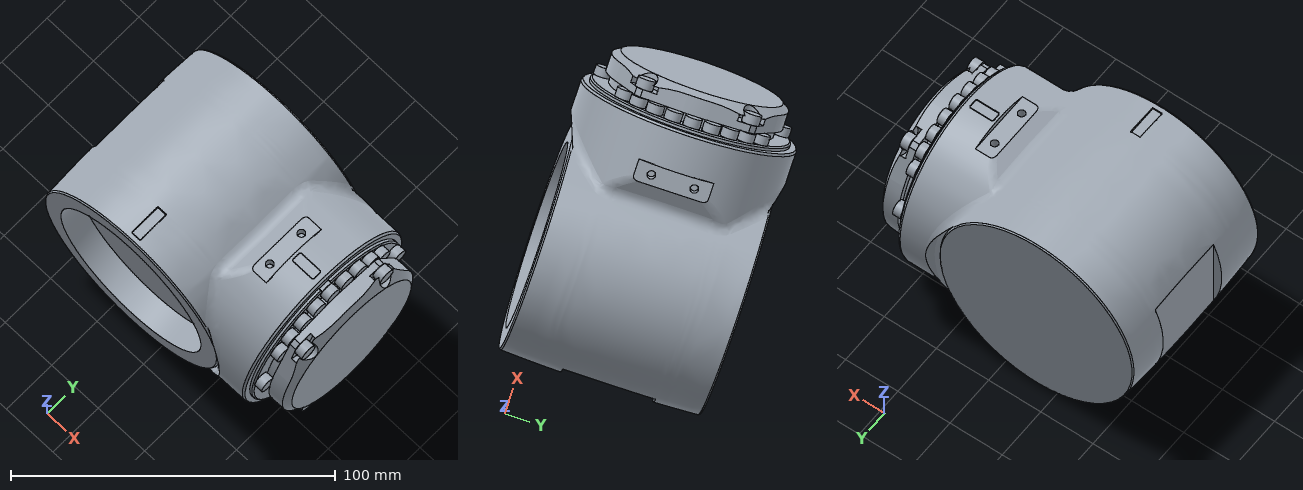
import cadquery as cq
import math

drum_radius = 38.0
drum_end_radius = 37.1
drum_half_length = 32.5
drum_edge = 0.3
recess_radius = 30.1
recess_depth = 9.4

window_x = -34.7
window_y_min = -12.4
window_y_max = 17.7

arm_diameter = 70.0
arm_radius = arm_diameter / 2
arm_end_x = 51.0
arm_edge_length = 0.8
arm_edge_height = 0.4
neck_fillet = 4.0
shoulder_start_radius = drum_end_radius - drum_edge
shoulder_valley_radius = 37.3
shoulder_valley_depth = 0.8
shoulder_bend_radius = 38.3
shoulder_bend_height = 0.6
shoulder_end_radius = 40.4

pad_z = 32.8
pad_start_x = 31.5
pad_end_x = 38.3
ramp_angle = 31.0
pad_hole_x = 34.8
pad_hole_y = 7.0
pad_hole_radius = 1.3
pad_hole_depth = 4.0

marker_half_width = 1.8
drum_marker_y_min = -30.3
drum_marker_y_max = -18.8
drum_marker_floor = 36.6
arm_marker_x_min = 39.3
arm_marker_x_max = 48.3
arm_marker_corner = 0.5
arm_marker_floor = 34.6

flange_radius = 32.5
flange_end_x = 52.5
flange_chamfer = 0.5
flange_notch_half_width = 2.0
flange_notch_floor = 31.8
neck_radius = 26.8
cap_radius = 28.8
cap_face_x = 55.7
cap_chamfer_x = 61.5
cap_end_x = 63.2
cap_end_radius = 26.4
lug_angle = 35.5
lug_half_angle = 27.7
lug_tip_radius = 31.9

screw_circle_radius = 29.7
screw_pitch_angle = 12.0
screw_steps = 4
side_screw_angle = 78.0
screw_head_radius = 2.7
screw_head_end_x = 55.5
lug_pocket_radius = 3.2
lug_groove_radius = 5.2
lug_groove_x = 58.2
lug_groove_end_x = 60.3
lug_screw_radius = 2.8
lug_screw_end_x = 61.5

clearance = 20.2
fit_tolerance = 0.1


def box(x_range, y_range, z_range):
    """Axis-aligned box between the given limits."""
    size = [high - low for low, high in (x_range, y_range, z_range)]
    corner = (x_range[0], y_range[0], z_range[0])
    return cq.Workplane("XY").box(*size, centered=False).translate(corner)


def rod(radius, x_start, x_end, y=0.0, z=0.0):
    """Cylinder along X centred at (y, z)."""
    return (cq.Workplane("YZ", origin=(x_start, 0, 0))
            .center(y, z).circle(radius).extrude(x_end - x_start))


def on_circle(radius, degrees):
    """Point (y, z) at an angle measured from +Z towards +Y."""
    angle = math.radians(degrees)
    return radius * math.sin(angle), radius * math.cos(angle)


def with_mirror(shape, plane):
    return shape.union(shape.mirror(plane))


def drum_blank():
    """Crowned drum, overlong so that the arm's outline lies wholly on its skin."""
    sagitta = drum_radius - drum_end_radius
    crown_radius = (drum_half_length ** 2 + sagitta ** 2) / (2 * sagitta)
    half = drum_half_length + clearance / 2
    end_radius = drum_radius - crown_radius + math.sqrt(crown_radius ** 2 - half ** 2)
    return (cq.Workplane("XY")
            .moveTo(0, -half).lineTo(end_radius, -half)
            .threePointArc((drum_radius, 0), (end_radius, half))
            .lineTo(0, half).close()
            .revolve(360, (0, 0, 0), (0, 1, 0)))


def arm_blank():
    """Arm cylinder with a pad and a ramp down to the drum, above and below."""
    top = pad_z + clearance
    ramp_foot_z = pad_z - pad_start_x * math.tan(math.radians(ramp_angle))
    cutter = (cq.Workplane("XZ")
              .polyline([(pad_end_x, top), (pad_end_x, pad_z), (pad_start_x, pad_z),
                         (0, ramp_foot_z), (0, top)])
              .close().extrude(arm_radius, both=True))
    cylinder = cq.Workplane("YZ").circle(arm_radius).extrude(arm_end_x)
    cylinder = cylinder.faces(">X").chamfer(arm_edge_length, arm_edge_height)
    return cylinder.cut(with_mirror(cutter, "XY"))


def end_cutter():
    """Everything beyond the +Y drum face, with a small valley and a slope up to the arm's side."""
    outside = arm_radius + clearance
    return (cq.Workplane("XY")
            .polyline([(0, drum_half_length),
                       (shoulder_start_radius, drum_half_length),
                       (shoulder_valley_radius, drum_half_length - shoulder_valley_depth),
                       (shoulder_bend_radius, drum_half_length + shoulder_bend_height),
                       (shoulder_end_radius, arm_radius),
                       (shoulder_end_radius, outside),
                       (0, outside)])
            .close().revolve(360, (0, 0, 0), (0, 1, 0)))


def is_ramp_side(edge):
    """Sloping edge between a ramp and the round of the arm."""
    ends_at_pad = abs(edge.BoundingBox().xmax - pad_start_x) < fit_tolerance
    return ends_at_pad and edge.geomType() == "ELLIPSE"


def is_neck(edge):
    """Edge of the closed loop where the arm meets the skin of the drum."""
    bounds = edge.BoundingBox()
    return edge.geomType() == "BSPLINE" and bounds.xmin > 0 and bounds.xmax < drum_radius


def main_body():
    """Drum and arm blended together, with the drum cut to length."""
    joined = drum_blank().union(arm_blank())
    neck_edges = joined.edges().filter(lambda e: is_neck(e) or is_ramp_side(e))
    blended = neck_edges.fillet(neck_fillet)
    return blended.cut(with_mirror(end_cutter(), "XZ"))


def drum_cuts():
    """Round recess in the -Y face and the flat window on the -X side."""
    recess = (cq.Workplane("XZ", origin=(0, -drum_half_length, 0))
              .circle(recess_radius).extrude(-recess_depth))
    window = box((-drum_radius - clearance, window_x), (window_y_min, window_y_max),
                 (-drum_radius, drum_radius))
    return recess.union(window)


def pad_holes():
    holes = (cq.Workplane("XY", origin=(pad_hole_x, 0, pad_z))
             .pushPoints([(0, -pad_hole_y), (0, pad_hole_y)])
             .circle(pad_hole_radius).extrude(-pad_hole_depth))
    return with_mirror(holes, "XY")


def markers():
    """Shallow rectangular recesses on top of the drum and the arm."""
    across = (-marker_half_width, marker_half_width)
    on_drum = box(across, (drum_marker_y_min, drum_marker_y_max),
                  (drum_marker_floor, drum_radius))
    on_arm = box((arm_marker_x_min, arm_marker_x_max), across, (arm_marker_floor, drum_radius))
    return on_drum.union(on_arm.edges("|Z").fillet(arm_marker_corner))


def flange():
    """Narrower disc that closes the end of the arm, with an index notch on top."""
    disc = rod(flange_radius, arm_end_x, flange_end_x).faces(">X").chamfer(flange_chamfer)
    notch = box((arm_end_x, flange_end_x),
                (-flange_notch_half_width, flange_notch_half_width),
                (flange_notch_floor, flange_radius))
    return disc.cut(notch)


def lug_angles():
    return lug_angle, 180 - lug_angle, 180 + lug_angle, -lug_angle


def cap():
    """Chamfered cap with four lugs whose flanks run tangent to its round."""
    shape = rod(cap_radius, cap_face_x, cap_end_x)
    corner_radius = cap_radius / math.cos(math.radians(lug_half_angle))
    for angle in lug_angles():
        lug = (cq.Workplane("YZ", origin=(cap_face_x, 0, 0))
               .polyline([(0, 0),
                          on_circle(cap_radius, angle - lug_half_angle),
                          on_circle(corner_radius, angle),
                          on_circle(cap_radius, angle + lug_half_angle)])
               .close().extrude(cap_end_x - cap_face_x))
        shape = shape.union(lug)
    slope = (cap_radius - cap_end_radius) / (cap_end_x - cap_chamfer_x)
    cone_start_x = cap_end_x - (lug_tip_radius - cap_end_radius) / slope
    envelope = (cq.Workplane("XY")
                .polyline([(0, 0), (0, lug_tip_radius), (cone_start_x, lug_tip_radius),
                           (cap_end_x, cap_end_radius), (cap_end_x, 0)])
                .close().revolve(360, (0, 0, 0), (1, 0, 0)))
    shape = shape.intersect(envelope)
    for angle in lug_angles():
        centre = on_circle(screw_circle_radius, angle)
        shape = shape.cut(rod(lug_groove_radius, lug_groove_x, lug_groove_end_x, *centre))
        shape = shape.cut(rod(lug_pocket_radius, lug_groove_x, cap_end_x, *centre))
        shape = shape.union(rod(lug_screw_radius, lug_groove_x, lug_screw_end_x, *centre))
    return shape


def flange_screws():
    """Neck between flange and cap, ringed by screw heads.

    There is a row of heads above, a row below and one more at each side.
    """
    angles = [-side_screw_angle, side_screw_angle]
    for step in range(-screw_steps, screw_steps + 1):
        angles += [step * screw_pitch_angle, 180 + step * screw_pitch_angle]
    heads = rod(neck_radius, flange_end_x, cap_face_x)
    for angle in angles:
        heads = heads.union(rod(screw_head_radius, flange_end_x, screw_head_end_x,
                                *on_circle(screw_circle_radius, angle)))
    return heads


result = main_body()
result = result.cut(drum_cuts()).cut(pad_holes()).cut(markers())
result = result.union(flange()).union(cap()).union(flange_screws())